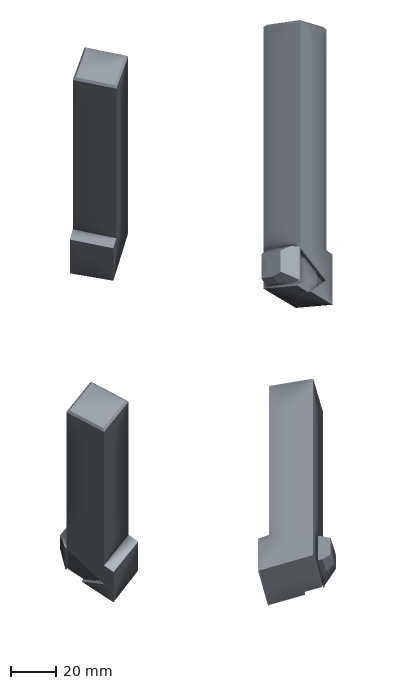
import cadquery as cq
import math

shank_width = 20.0
head_width = 25.0
total_length = 124.99
shank_chamfer = 1.0
shoulder_height = 24.0
shoulder_drop = (head_width - shank_width) * math.tan(math.radians(15))
end_slope_across = 0.05
end_slope_along = math.tan(math.radians(10))

pocket_depth = 1.6
corner_depth = 2.1
pocket_corner_y = -19.9
pocket_center_y = -6.65
pocket_center_z = 9.9
pocket_half_angle = math.radians(30)
pocket_overrun = 1.0
pad_radius = 8.45

clamp_length = 16.2
clamp_reach = 7.1
clamp_bottom = 5.85
clamp_top = 21.95
clamp_nose = 0.7
clamp_bevel_run = 5.7
clamp_foot = 1.6
clamp_gap = 1.3
clamp_gap_start = 3.5

upper_bevel_edge_z = 19.9
upper_slope_across = -0.055
upper_slope_along = -0.543
lower_bevel_edge_z = 8.4
lower_slope_across = 0.0
lower_slope_along = 0.7
corner_bevel_edge_z = 10.1
corner_slope_across = -0.38
corner_slope_along = 0.84

trim_size = 100.0


def trim_block(point, slope_across, slope_along, upward):
    """Block above or below the plane through point with the given rises of Z per X and per Y."""
    plane = cq.Plane(origin=point, xDir=(1, 0, slope_across), normal=(-slope_across, -slope_along, 1))
    depth = trim_size if upward else -trim_size
    return cq.Workplane(plane).rect(trim_size, trim_size).extrude(depth)


def make_blank():
    shank = (
        cq.Workplane("XY")
        .box(shank_width, shank_width, total_length, centered=False)
        .translate((0, -shank_width, 0))
        .faces(">Z")
        .chamfer(shank_chamfer)
    )
    head = (
        cq.Workplane("YZ")
        .polyline([
            (-shank_width, 0),
            (-head_width, 0),
            (-head_width, shoulder_height - shoulder_drop),
            (-shank_width, shoulder_height),
        ])
        .close()
        .extrude(shank_width)
    )
    return shank.union(head)


def make_pocket():
    center = (pocket_center_y, pocket_center_z)
    reach = pocket_overrun - pocket_corner_y
    half_opening = reach * math.tan(pocket_half_angle)
    wedge = (
        cq.Workplane("YZ")
        .polyline([
            (pocket_corner_y, pocket_center_z),
            (pocket_overrun, pocket_center_z + half_opening),
            (pocket_overrun, pocket_center_z - half_opening),
        ])
        .close()
        .extrude(corner_depth)
    )
    pad = (
        cq.Workplane("YZ", origin=(pocket_depth, 0, 0))
        .center(*center)
        .circle(pad_radius)
        .extrude(corner_depth - pocket_depth)
    )
    return wedge.cut(pad)


def make_holder():
    end_trim = trim_block((0, -head_width, 0), end_slope_across, end_slope_along, False)
    return make_blank().cut(end_trim).cut(make_pocket())


def clamp_prism(outline):
    """Outline in X and Y raised over the full height of the clamp."""
    base = cq.Workplane("XY", origin=(0, 0, clamp_bottom))
    return base.polyline(outline).close().extrude(clamp_top - clamp_bottom)


def make_clamp():
    foot_top_x = clamp_foot + (clamp_gap_start - clamp_foot) * clamp_nose / clamp_gap
    bar = clamp_prism([
        (0, clamp_nose),
        (foot_top_x, clamp_nose),
        (clamp_gap_start, clamp_gap),
        (clamp_length, clamp_gap),
        (clamp_length, clamp_reach),
        (clamp_bevel_run, clamp_reach),
    ])
    bevel_edge = (clamp_bevel_run, clamp_reach)
    upper_trim = trim_block((*bevel_edge, upper_bevel_edge_z), upper_slope_across, upper_slope_along, True)
    lower_trim = trim_block((*bevel_edge, lower_bevel_edge_z), lower_slope_across, lower_slope_along, False)
    corner_trim = trim_block(
        (*bevel_edge, corner_bevel_edge_z), corner_slope_across, corner_slope_along, False
    )

    foot = clamp_prism([(0, 0), (clamp_foot, 0), (foot_top_x, clamp_nose), (0, clamp_nose)])
    return bar.cut(upper_trim).cut(lower_trim).cut(corner_trim).union(foot)


holder = make_holder()
clamp = make_clamp()

result = cq.Compound.makeCompound([holder.val(), clamp.val()])